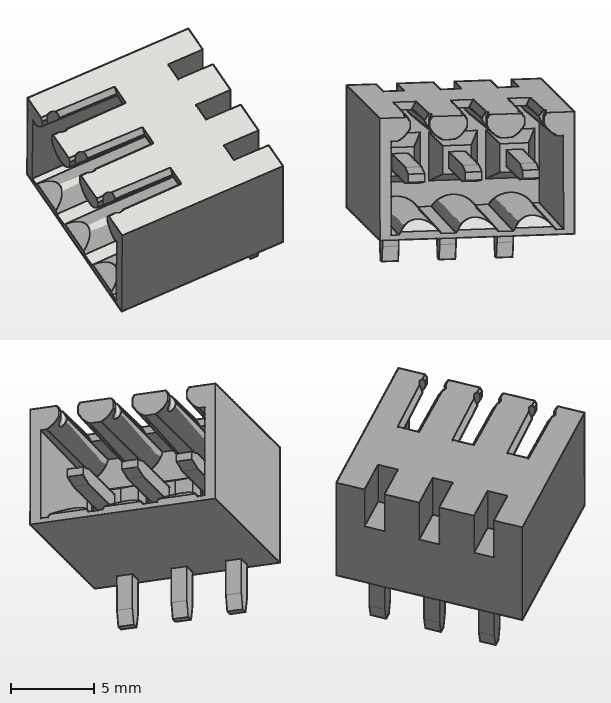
import cadquery as cq

pole_count = 3
pitch = 3.5
pole_x = [(index - (pole_count - 1) / 2) * pitch for index in range(pole_count)]

housing_width = 11.9
housing_depth = 11.05
housing_height = 7.47
face_setback = 0.04

cavity_depth = 8.0
cavity_half_width = 5.27
cavity_draft = 0.15
floor_z = 0.31
roof_z = 6.03
roof_gap_half = 1.39
flank_half = 0.85
flank_z = 6.44
flank_drop = 0.05
ceiling_z = 7.06
ceiling_draft = 0.12

slot_length = 5.05
slot_top_half = 0.75
slot_taper = 0.06
throat_half = 0.5
throat_z = 7.05

keyhole_width = 1.69
keyhole_run = 0.81
keyhole_y = 0.76
channel_width = 1.21

rib_radius = 1.51
rib_top_z = 1.05
rib_draft = 0.11
rib_slope_z = 0.49
rib_slope_rise = 0.56
rib_slope_run = 0.92

notch_width = 1.27
notch_depth = 2.38
notch_height = 2.98

pin_size = 1.0
pin_z = 3.52
pin_front_y = 1.21
pin_leg_y = 10.13
overall_height = 10.65
pin_bottom_z = housing_height - overall_height
pin_taper = 0.99
pin_tip_size = 0.5

collar_length = 1.33
collar_base = 2.98
collar_front = 1.75


def cavity_outline(y, taper):
    """Closed cavity section: a flat floor below, rounded teeth between slots above.

    The taper is 0 at the mating face and 1 at the back wall.
    """
    inset = taper * cavity_draft
    floor = floor_z + inset
    roof = roof_z - inset
    ceiling = ceiling_z - taper * ceiling_draft
    throat = throat_half - taper * slot_taper
    gap = roof_gap_half - inset
    flank = flank_half - inset
    flank_height = flank_z - taper * flank_drop
    outline = cq.Workplane("XZ", origin=(0, y, 0)).moveTo(-cavity_half_width, floor)
    outline = outline.lineTo(cavity_half_width, floor).lineTo(cavity_half_width, roof)
    for x in reversed(pole_x):
        outline = outline.lineTo(x + gap, roof)
        outline = outline.threePointArc((x + flank, flank_height), (x + throat, ceiling))
        outline = outline.lineTo(x - throat, ceiling)
        outline = outline.threePointArc((x - flank, flank_height), (x - gap, roof))
    return outline.lineTo(-cavity_half_width, roof).close().val()


def make_cavity():
    front = cavity_outline(0, 0)
    back = cavity_outline(cavity_depth, 1)
    cavity = cq.Workplane(cq.Solid.makeLoft([front, back], True))
    for x in pole_x:
        cavity = cavity.cut(make_rib(x))
    return cavity


def slot_outline(x, y, inset):
    """Slot section: upright below the throat, flared from there to the top face."""
    throat = throat_half - inset
    top = slot_top_half - inset
    points = [
        (x - throat, ceiling_z - ceiling_draft),
        (x + throat, ceiling_z - ceiling_draft),
        (x + throat, throat_z),
        (x + top, housing_height),
        (x - top, housing_height),
        (x - throat, throat_z),
    ]
    return cq.Workplane("XZ", origin=(0, y, 0)).polyline(points).close().val()


def make_slot(x):
    """Slot with flared side walls that narrows towards its closed end."""
    front = slot_outline(x, 0, 0)
    back = slot_outline(x, slot_length, slot_taper)
    return cq.Workplane(cq.Solid.makeLoft([front, back], True))


def make_keyhole(x):
    """Upright round-ended opening joined to the mating face by a narrower channel."""
    height = housing_height - roof_z
    base = cq.Workplane("XY", origin=(x, 0, roof_z))
    bore = base.center(0, keyhole_y).slot2D(keyhole_width, keyhole_run).extrude(height)
    channel = base.center(0, keyhole_y / 2).rect(channel_width, keyhole_y).extrude(height)
    return bore.union(channel)


def make_rib(x):
    """Cone lying along the cavity, sunk below the floor so that only its upper part shows."""
    center = cq.Vector(x, 0, rib_top_z - rib_radius)
    cone = cq.Solid.makeCone(rib_radius, rib_radius + rib_draft, cavity_depth, center, cq.Vector(0, 1, 0))
    return cq.Workplane(cone)


def make_rib_slope():
    """Wedge above the sloping plane that trims the front ends of all the ribs."""
    wedge = cq.Workplane("YZ", origin=(-cavity_half_width, 0, 0)).moveTo(0, rib_slope_z)
    wedge = wedge.lineTo(2 * rib_slope_run, rib_slope_z + 2 * rib_slope_rise)
    wedge = wedge.lineTo(0, rib_slope_z + 2 * rib_slope_rise).close()
    return wedge.extrude(2 * cavity_half_width)


def make_notch(x):
    """Rear notch that ends above the pin."""
    corner = (x, housing_depth - notch_depth, housing_height - notch_height)
    notch = cq.Workplane("XY").box(notch_width, notch_depth, notch_height, centered=(True, False, False))
    return notch.translate(corner)


def make_pin(x):
    """Square L-shaped pin with both ends tapered to a blunt tip."""
    half = pin_size / 2
    tip = pin_tip_size / 2
    points = [
        (pin_front_y, pin_z - tip),
        (pin_front_y + pin_taper, pin_z - half),
        (pin_leg_y - half, pin_z - half),
        (pin_leg_y - half, pin_bottom_z + pin_taper),
        (pin_leg_y - tip, pin_bottom_z),
        (pin_leg_y + tip, pin_bottom_z),
        (pin_leg_y + half, pin_bottom_z + pin_taper),
        (pin_leg_y + half, pin_z + half),
        (pin_front_y + pin_taper, pin_z + half),
        (pin_front_y, pin_z + tip),
    ]
    return cq.Workplane("YZ", origin=(x - half, 0, 0)).polyline(points).close().extrude(pin_size)


def make_collar(x, pin):
    """Square pyramid frustum pierced by its pin."""
    base = cq.Workplane("XZ", origin=(x, cavity_depth, pin_z)).rect(collar_base, collar_base)
    collar = base.workplane(offset=collar_length).rect(collar_front, collar_front).loft(ruled=True)
    return collar.cut(pin)


def make_housing(pins):
    """Block with its cavity, slots and notches, and a matching passage for each pin."""
    side = [
        (0, 0),
        (housing_depth, 0),
        (housing_depth, housing_height),
        (face_setback, housing_height),
    ]
    outline = cq.Workplane("YZ", origin=(-housing_width / 2, 0, 0)).polyline(side).close()
    housing = outline.extrude(housing_width)
    housing = housing.cut(make_cavity()).cut(make_rib_slope())
    for x in pole_x:
        housing = housing.cut(make_slot(x)).cut(make_keyhole(x)).cut(make_notch(x))
    for pin in pins:
        housing = housing.cut(pin)
    return housing


pins = [make_pin(x) for x in pole_x]
collars = [make_collar(x, pin) for x, pin in zip(pole_x, pins)]
housing = make_housing(pins)

result = cq.Compound.makeCompound(
    [housing.val(), *[pin.val() for pin in pins], *[collar.val() for collar in collars]]
)